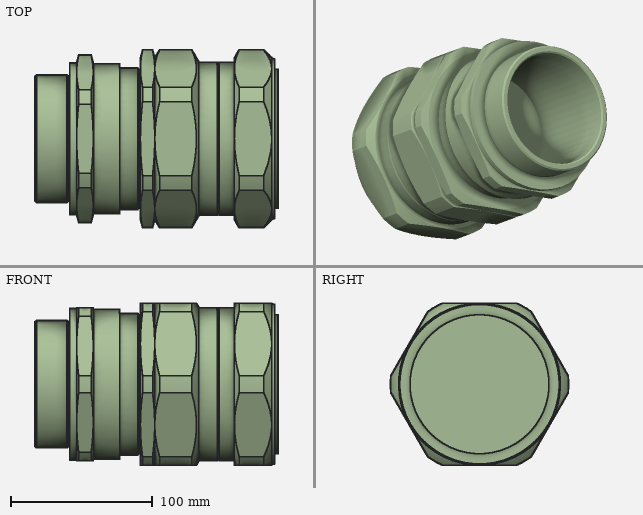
import cadquery as cq
import math


TOTAL_LENGTH = 171.3

THREAD_RADIUS = 45.0
THREAD_CHAMFER = 1.1
THREAD_END = 23.6
NECK_RADIUS = 44.0
BORE_RADIUS = 40.0
BORE_CHAMFER = 1.0

FLANGE_START = 24.5
FLANGE_RADIUS = 53.5
ENTRY_NUT_START = 29.3
ENTRY_NUT_END = 41.3
BODY_RADIUS = 52.9
BODY_END = 59.7
SLEEVE_RADIUS = 50.0
SLEEVE_CHAMFER = 1.2
SLEEVE_END = 73.5
SLEEVE_NECK_RADIUS = 48.5
LOCK_NUT_START = 74.3
LOCK_NUT_END = 84.4
MID_NUT_END = 115.6
BARREL_RADIUS = 54.0
GROOVE_START = 128.3
GROOVE_WIDTH = 0.6
GROOVE_RADIUS = 52.3
BARREL_CHAMFER = 1.0
REAR_NUT_START = 140.5
REAR_NUT_END = 167.0
COLLAR_RADIUS = 56.6
COLLAR_TAPER_START = 167.5
COLLAR_END_RADIUS = 56.2
COLLAR_END = 169.0
STUB_RADIUS = 49.0

ENTRY_FLATS = 108.0
ENTRY_CORNER_RADIUS = 59.2
MAIN_FLATS = 114.3
MAIN_CORNER_RADIUS = 62.835
MAIN_FACE_RADIUS = 57.0
HEX_SIDES = 6

SHALLOW_ANGLE = 15
MEDIUM_ANGLE = 30
STEEP_ANGLE = 45

BORE_DEPTH = LOCK_NUT_START


def revolve_profile(points):
    """Turn a closed outline of (x, radius) points around the X axis."""
    return cq.Workplane("XZ").polyline(points).close().revolve(360, (0, 0, 0), (1, 0, 0))


def hex_nut(start, end, flats, corner_radius, face_radii, angles):
    """Hexagon with rounded corners and a conical chamfer at each end.

    face_radii and angles hold the (front, rear) end-face radius and the
    chamfer angle measured from that end face.
    """
    front_radius, rear_radius = face_radii
    front_run = (corner_radius - front_radius) * math.tan(math.radians(angles[0]))
    rear_run = (corner_radius - rear_radius) * math.tan(math.radians(angles[1]))
    envelope = revolve_profile([
        (start, 0),
        (start, front_radius),
        (start + front_run, corner_radius),
        (end - rear_run, corner_radius),
        (end, rear_radius),
        (end, 0),
    ])
    corner_diameter = flats / math.cos(math.pi / HEX_SIDES)
    prism = cq.Workplane("YZ", origin=(start, 0, 0)).polygon(HEX_SIDES, corner_diameter).extrude(end - start)
    return prism.intersect(envelope)


def round_core():
    """All turned surfaces of the gland as one solid of revolution."""
    sleeve_chamfer_start = SLEEVE_END - SLEEVE_CHAMFER
    groove_end = GROOVE_START + GROOVE_WIDTH
    return revolve_profile([
        (0, 0),
        (0, THREAD_RADIUS - THREAD_CHAMFER),
        (THREAD_CHAMFER, THREAD_RADIUS),
        (THREAD_END - THREAD_CHAMFER, THREAD_RADIUS),
        (THREAD_END, NECK_RADIUS),
        (FLANGE_START, NECK_RADIUS),
        (FLANGE_START, FLANGE_RADIUS),
        (ENTRY_NUT_START, FLANGE_RADIUS),
        (ENTRY_NUT_START, BODY_RADIUS),
        (BODY_END, BODY_RADIUS),
        (BODY_END, SLEEVE_RADIUS),
        (sleeve_chamfer_start, SLEEVE_RADIUS),
        (SLEEVE_END, SLEEVE_NECK_RADIUS),
        (LOCK_NUT_END, SLEEVE_NECK_RADIUS),
        (LOCK_NUT_END, BARREL_RADIUS),
        (GROOVE_START, BARREL_RADIUS),
        (GROOVE_START, GROOVE_RADIUS),
        (groove_end, GROOVE_RADIUS),
        (groove_end, BARREL_RADIUS - BARREL_CHAMFER),
        (groove_end + BARREL_CHAMFER, BARREL_RADIUS),
        (REAR_NUT_END, BARREL_RADIUS),
        (REAR_NUT_END, COLLAR_RADIUS),
        (COLLAR_TAPER_START, COLLAR_RADIUS),
        (COLLAR_END, COLLAR_END_RADIUS),
        (COLLAR_END, STUB_RADIUS),
        (TOTAL_LENGTH, STUB_RADIUS),
        (TOTAL_LENGTH, 0),
    ])


def blind_bore():
    """Bore from the mouth with a 45 degree lead-in and a flat floor."""
    return revolve_profile([
        (0, 0),
        (0, BORE_RADIUS + BORE_CHAMFER),
        (BORE_CHAMFER, BORE_RADIUS),
        (BORE_DEPTH, BORE_RADIUS),
        (BORE_DEPTH, 0),
    ])


entry_nut = hex_nut(
    ENTRY_NUT_START, ENTRY_NUT_END, ENTRY_FLATS, ENTRY_CORNER_RADIUS,
    (FLANGE_RADIUS, BODY_RADIUS), (SHALLOW_ANGLE, SHALLOW_ANGLE),
)
lock_nut = hex_nut(
    LOCK_NUT_START, LOCK_NUT_END, MAIN_FLATS, MAIN_CORNER_RADIUS,
    (MAIN_FACE_RADIUS, MAIN_FACE_RADIUS), (SHALLOW_ANGLE, SHALLOW_ANGLE),
)
mid_nut = hex_nut(
    LOCK_NUT_END, MID_NUT_END, MAIN_FLATS, MAIN_CORNER_RADIUS,
    (MAIN_FACE_RADIUS, BARREL_RADIUS), (MEDIUM_ANGLE, MEDIUM_ANGLE),
)
rear_nut = hex_nut(
    REAR_NUT_START, REAR_NUT_END, MAIN_FLATS, MAIN_CORNER_RADIUS,
    (MAIN_FACE_RADIUS, MAIN_FACE_RADIUS), (MEDIUM_ANGLE, STEEP_ANGLE),
)

result = round_core()
for nut in (entry_nut, lock_nut, mid_nut, rear_nut):
    result = result.union(nut)
result = result.cut(blind_bore())